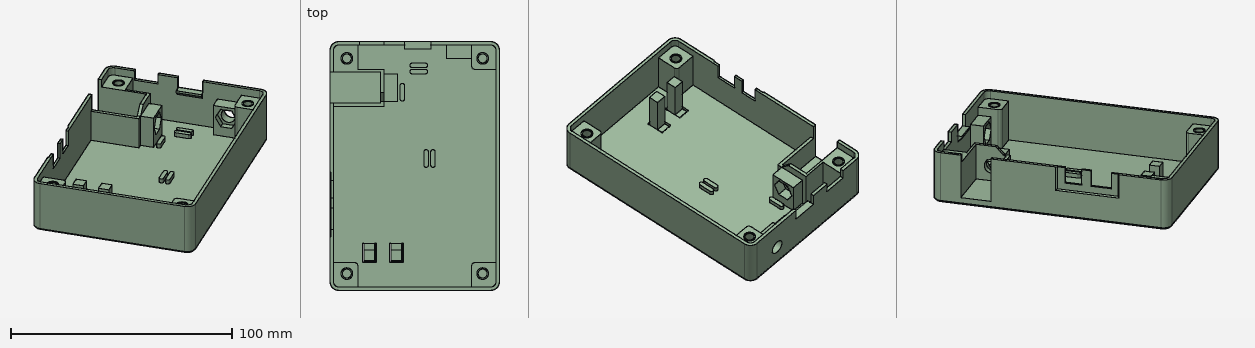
import cadquery as cq

LENGTH_X = 76.7
LENGTH_Y = 112.6
HEIGHT = 24.4
WALL = 1.6
FLOOR = 1.5
CORNER_RADIUS = 4.0
BASE_CHAMFER = 1.0

HALF_X = LENGTH_X / 2
HALF_Y = LENGTH_Y / 2
INNER_X = HALF_X - WALL
INNER_Y = HALF_Y - WALL

BOSS_SIZE = 12.6
BOSS_TOP = 20.6
BOSS_EDGE_RADIUS = 1.5
BOSS_INNER_X = HALF_X - BOSS_SIZE
BOSS_INNER_Y = HALF_Y - BOSS_SIZE
SCREW_INSET = 7.7
SCREW_DIAMETER = 4.0
SCREW_MOUTH_DIAMETER = 5.3
SCREW_MOUTH_DEPTH = 0.2

BAY_Y_MIN = 28.4
BAY_Y_MAX = 42.6
BAY_X_MAX = -15.5
BAY_OUTER_X = BAY_X_MAX + WALL
BAY_FLOOR = 3.6
BAY_HIGH_WALL_TOP = BOSS_TOP
BAY_LOW_WALL_TOP = 16.5
BAY_SLOPE_END_Y = 29.2

NUT_BLOCK_WIDTH = 12.3
NUT_BLOCK_DEPTH = 6.2
NUT_BLOCK_TOP = 16.7
NUT_HOLE_DIAMETER = 6.6
NUT_CORNER_DIAMETER = 10.4
NUT_AXIS_Z = 10.7
BAY_NUT_Y = 35.4
BAY_NUT_POCKET_DEPTH = 4.7
BACK_NUT_X = 20.5
BACK_NUT_POCKET_DEPTH = 2.9

BACK_NOTCH_X = (-25.0, -14.0)
BACK_NOTCH_BOTTOM = 19.6
PORT_NOTCH_X = (-4.6, 7.3)
PORT_NOTCH_BOTTOM = 18.7
LEDGE_DEPTH = 1.9
LEDGE_LIP = 1.0

RECESS_Y_MIN = -32.5
RECESS_Y_MAX = -2.4
RECESS_BOTTOM = 13.0
RECESS_DEPTH = 0.5
RECESS_TAPER = 0.7
SIDE_NOTCHES_Y = ((-14.5, -6.6), (-28.7, -18.9))
SIDE_NOTCH_BOTTOM = 16.9

RIB_LENGTH = 8.0
RIB_WIDTH = 2.0
RIB_HEIGHT = 2.0
RIBS = ((1.8, 45.5, 0), (1.8, 42.7, 0), (-5.6, 33.3, 90), (5.2, 3.4, 90), (8.2, 3.4, 90))

BUTTON_X_MINS = (-23.5, -11.4)
BUTTON_Y_MIN = -43.5
BUTTON_Y_MAX = -35.0
BUTTON_WIDTH = 6.1
BUTTON_GAP = 0.6
BUTTON_POST_LENGTH = 4.8
BUTTON_POST_TOP = 18.8
TONGUE_THICKNESS = 0.8


def box(x_range, y_range, z_range):
    """Box filling the given X, Y and Z ranges."""
    sizes = [high - low for low, high in (x_range, y_range, z_range)]
    corner = (x_range[0], y_range[0], z_range[0])
    return cq.Workplane("XY").box(*sizes, centered=False).translate(corner)


def rounded_block(half_x, half_y, radius):
    """Full-height block centred on Z, with rounded vertical edges."""
    block = box((-half_x, half_x), (-half_y, half_y), (0, HEIGHT))
    return block.edges("|Z").fillet(radius)


def make_envelope():
    """Outer form of the case as a solid block."""
    block = rounded_block(HALF_X, HALF_Y, CORNER_RADIUS)
    return block.faces("<Z").chamfer(BASE_CHAMFER)


def make_bosses():
    """Corner bosses; the one beside the connector bay keeps a sharp edge."""
    sharp = box((BOSS_INNER_X, HALF_X), (BOSS_INNER_Y, HALF_Y), (0, BOSS_TOP))
    rounded = sharp.edges("|Z and <X and <Y").fillet(BOSS_EDGE_RADIUS)
    front_right = rounded.mirror("XZ")
    front_left = front_right.mirror("YZ")
    back_left = sharp.mirror("YZ")
    return rounded.union(front_right).union(front_left).union(back_left)


def make_screw_holes():
    """Blind screw holes with a wider mouth, reaching down to the floor."""
    spacing_x = 2 * (HALF_X - SCREW_INSET)
    spacing_y = 2 * (HALF_Y - SCREW_INSET)
    centres = cq.Workplane("XY", origin=(0, 0, BOSS_TOP)).rarray(spacing_x, spacing_y, 2, 2)
    holes = centres.circle(SCREW_DIAMETER / 2).extrude(FLOOR - BOSS_TOP)
    mouths = centres.circle(SCREW_MOUTH_DIAMETER / 2).extrude(-SCREW_MOUTH_DEPTH)
    return holes.union(mouths)


def make_bay_block():
    """Solid block around the connector bay, its top sloping down to the low wall."""
    y_low = BAY_Y_MIN - WALL
    slope_start_y = BAY_SLOPE_END_Y + BAY_HIGH_WALL_TOP - BAY_LOW_WALL_TOP
    return (
        cq.Workplane("YZ", origin=(-HALF_X, 0, 0))
        .moveTo(y_low, 0)
        .lineTo(BOSS_INNER_Y, 0)
        .lineTo(BOSS_INNER_Y, BAY_HIGH_WALL_TOP)
        .lineTo(slope_start_y, BAY_HIGH_WALL_TOP)
        .lineTo(BAY_SLOPE_END_Y, BAY_LOW_WALL_TOP)
        .lineTo(y_low, BAY_LOW_WALL_TOP)
        .close()
        .extrude(BAY_OUTER_X + HALF_X)
    )


def centred_range(centre, width):
    return (centre - width / 2, centre + width / 2)


def make_nut_blocks():
    """Blocks behind the bay wall and the +Y wall."""
    z_range = (0, NUT_BLOCK_TOP)
    bay_x_range = (BAY_OUTER_X, BAY_OUTER_X + NUT_BLOCK_DEPTH)
    bay_block = box(bay_x_range, centred_range(BAY_NUT_Y, NUT_BLOCK_WIDTH), z_range)
    back_y_range = (INNER_Y - NUT_BLOCK_DEPTH, INNER_Y)
    back_block = box(centred_range(BACK_NUT_X, NUT_BLOCK_WIDTH), back_y_range, z_range)
    return bay_block.union(back_block)


def make_nut_cut(plane_name, origin, pocket_depth):
    """Hole through a wall and its nut block, ending in the nut pocket."""
    full_depth = WALL + NUT_BLOCK_DEPTH
    start = cq.Workplane(plane_name, origin=origin)
    hole = start.circle(NUT_HOLE_DIAMETER / 2).extrude(full_depth)
    pocket_start = start.workplane(offset=full_depth - pocket_depth)
    return hole.union(pocket_start.polygon(6, NUT_CORNER_DIAMETER).extrude(pocket_depth))


def make_ledge():
    """Ledge inside the port notch, carried by a 45 degree slope."""
    front_y = INNER_Y - LEDGE_DEPTH
    lip_bottom = PORT_NOTCH_BOTTOM - LEDGE_LIP
    return (
        cq.Workplane("YZ", origin=(PORT_NOTCH_X[0], 0, 0))
        .moveTo(INNER_Y, PORT_NOTCH_BOTTOM)
        .lineTo(front_y, PORT_NOTCH_BOTTOM)
        .lineTo(front_y, lip_bottom)
        .lineTo(INNER_Y, lip_bottom - LEDGE_DEPTH)
        .close()
        .extrude(PORT_NOTCH_X[1] - PORT_NOTCH_X[0])
    )


def make_recess():
    """Shallow recess with tapered sides; only its lower half lies in the wall."""
    width = RECESS_Y_MAX - RECESS_Y_MIN
    height = 2 * (HEIGHT - RECESS_BOTTOM)
    centre_y = (RECESS_Y_MIN + RECESS_Y_MAX) / 2
    return (
        cq.Workplane("YZ", origin=(-HALF_X, centre_y, HEIGHT))
        .rect(width, height)
        .workplane(offset=RECESS_DEPTH)
        .rect(width - 2 * RECESS_TAPER, height - 2 * RECESS_TAPER)
        .loft(ruled=True)
    )


def make_rib(x, y, angle):
    rib = cq.Workplane("XY").slot2D(RIB_LENGTH, RIB_WIDTH, angle).extrude(RIB_HEIGHT)
    return rib.translate((x, y, FLOOR))


def add_button(body, x_min):
    """Cut an opening in the floor and put the tongue with its post into it."""
    x_max = x_min + BUTTON_WIDTH
    x_range = (x_min + BUTTON_GAP, x_max - BUTTON_GAP)
    y_free_end = BUTTON_Y_MIN + BUTTON_GAP
    opening = box((x_min, x_max), (BUTTON_Y_MIN, BUTTON_Y_MAX), (0, FLOOR))
    tongue = box(x_range, (y_free_end, BUTTON_Y_MAX), (0, TONGUE_THICKNESS))
    post = box(x_range, (y_free_end, y_free_end + BUTTON_POST_LENGTH), (0, BUTTON_POST_TOP))
    return body.cut(opening).union(tongue).union(post)


envelope = make_envelope()
cavity = rounded_block(INNER_X, INNER_Y, CORNER_RADIUS - WALL).translate((0, 0, FLOOR))
body = envelope.cut(cavity)
body = body.union(make_bosses()).union(make_bay_block()).union(make_nut_blocks())
body = body.intersect(envelope)

body = body.cut(box((-HALF_X, BAY_X_MAX), (BAY_Y_MIN, BAY_Y_MAX), (BAY_FLOOR, HEIGHT)))
body = body.cut(make_screw_holes())
body = body.cut(make_nut_cut("YZ", (BAY_X_MAX, BAY_NUT_Y, NUT_AXIS_Z), BAY_NUT_POCKET_DEPTH))
body = body.cut(make_nut_cut("XZ", (BACK_NUT_X, HALF_Y, NUT_AXIS_Z), BACK_NUT_POCKET_DEPTH))

body = body.cut(box(BACK_NOTCH_X, (INNER_Y, HALF_Y), (BACK_NOTCH_BOTTOM, HEIGHT)))
body = body.cut(box(PORT_NOTCH_X, (INNER_Y, HALF_Y), (PORT_NOTCH_BOTTOM, HEIGHT)))
body = body.union(make_ledge())

body = body.cut(make_recess())
for notch_y in SIDE_NOTCHES_Y:
    body = body.cut(box((-HALF_X, -INNER_X), notch_y, (SIDE_NOTCH_BOTTOM, HEIGHT)))

for rib_x, rib_y, rib_angle in RIBS:
    body = body.union(make_rib(rib_x, rib_y, rib_angle))
for button_x_min in BUTTON_X_MINS:
    body = add_button(body, button_x_min)

result = body